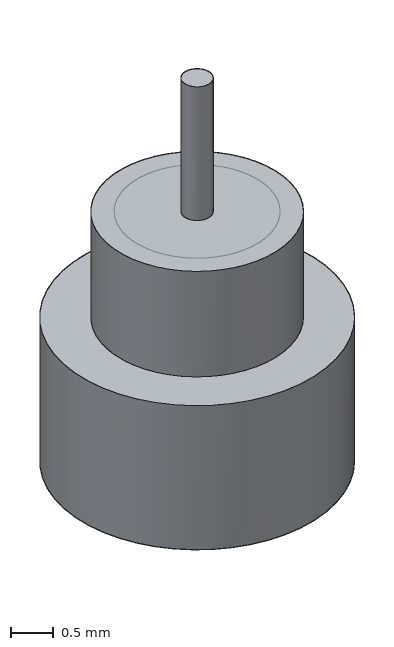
import cadquery as cq

BODY_DIAMETER = 3.7
BODY_HEIGHT = 2.05
COLLAR_DIAMETER = 2.5
COLLAR_HEIGHT = 1.5
INSULATOR_DIAMETER = 1.95
PIN_DIAMETER = 0.38
PIN_LENGTH = 1.9

COLLAR_TOP = BODY_HEIGHT + COLLAR_HEIGHT


def cylinder(diameter, bottom, height):
    """Upright cylinder on the Z axis, starting at the given height."""
    return cq.Workplane("XY").workplane(offset=bottom).circle(diameter / 2).extrude(height)


def make_insulator():
    """Round plug that fills the collar bore flush with its rim."""
    return cylinder(INSULATOR_DIAMETER, BODY_HEIGHT, COLLAR_HEIGHT)


def make_shell():
    """Wide body with a narrower collar, the collar bored for the insulator."""
    body = cylinder(BODY_DIAMETER, 0, BODY_HEIGHT)
    collar = cylinder(COLLAR_DIAMETER, BODY_HEIGHT, COLLAR_HEIGHT)
    return body.union(collar.cut(make_insulator()))


def make_pin():
    """Slender contact pin standing on the insulator."""
    return cylinder(PIN_DIAMETER, COLLAR_TOP, PIN_LENGTH)


result = make_shell().union(make_insulator(), clean=False).union(make_pin(), clean=False)